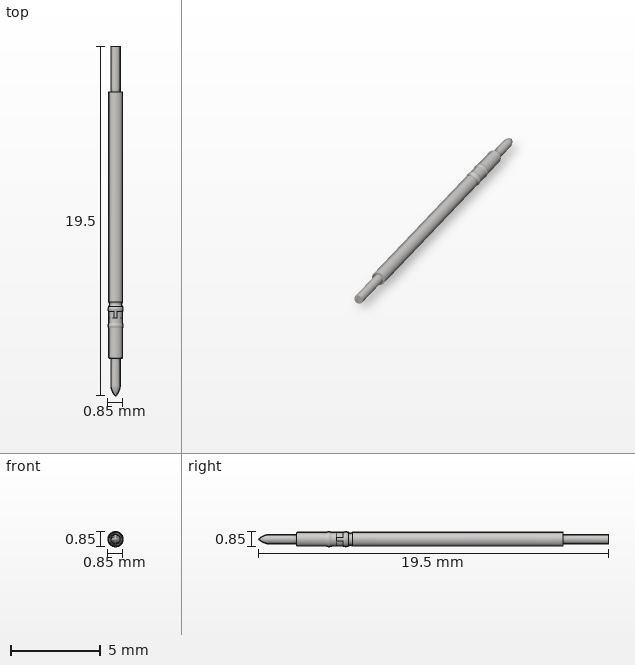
import cadquery as cq
import math

TOTAL_LENGTH = 19.46
TIP_Y = -TOTAL_LENGTH / 2
TAIL_END_Y = TOTAL_LENGTH / 2

BARREL_RADIUS = 0.39
RING_RADIUS = 0.425
GROOVE_RADIUS = 0.34
ROD_RADIUS = 0.26

POINT_LENGTH = 0.53
POINT_BULGE = 0.055
ROD_LENGTH = 1.57

BARREL_FRONT_Y = TIP_Y + POINT_LENGTH + ROD_LENGTH
MOUTH_ROUND = 0.08
RING_WIDTH = 0.29
RING_CREST_WIDTH = 0.055
FRONT_RING_GAP = 1.67
JOINT_GAP = 0.64
FRONT_RING_Y = BARREL_FRONT_Y + FRONT_RING_GAP
JOINT_Y = FRONT_RING_Y + RING_WIDTH + JOINT_GAP
GROOVE_Y = JOINT_Y + RING_WIDTH
GROOVE_WIDTH = 0.24
TAIL_LENGTH = 2.53
BARREL_REAR_Y = TAIL_END_Y - TAIL_LENGTH

KEY_LENGTH = 0.36
KEY_WIDTH = 0.18


def add_ring(profile, start_y):
    """Continue a half profile over one ring with sloped flanks and a flat crest."""
    flank_length = (RING_WIDTH - RING_CREST_WIDTH) / 2
    return (
        profile.lineTo(RING_RADIUS, start_y + flank_length)
        .lineTo(RING_RADIUS, start_y + flank_length + RING_CREST_WIDTH)
        .lineTo(BARREL_RADIUS, start_y + RING_WIDTH)
    )


def spin(profile):
    """Close a half profile and revolve it about the Y axis."""
    return profile.close().revolve(360, (0, 0, 0), (0, 1, 0))


def make_coupling_cross():
    """Crossed bars whose four ends show as keys on the barrel surface."""
    bar_x = cq.Workplane("XY").box(2 * BARREL_RADIUS, KEY_LENGTH, KEY_WIDTH)
    bar_z = cq.Workplane("XY").box(KEY_WIDTH, KEY_LENGTH, 2 * BARREL_RADIUS)
    cross = bar_x.union(bar_z).translate((0, JOINT_Y - KEY_LENGTH / 2, 0))
    envelope = (
        cq.Workplane("XZ", origin=(0, JOINT_Y, 0))
        .circle(BARREL_RADIUS)
        .extrude(KEY_LENGTH)
    )
    return cross.intersect(envelope)


def make_probe_head(cross):
    """Pointed rod and front barrel, slotted at the rear for the coupling keys."""
    shoulder_y = TIP_Y + POINT_LENGTH
    mouth_inset = MOUTH_ROUND * (1 - math.sqrt(0.5))
    mouth_middle = (BARREL_RADIUS - mouth_inset, BARREL_FRONT_Y + mouth_inset)
    bulge_point = (ROD_RADIUS / 2 + POINT_BULGE, TIP_Y + POINT_LENGTH / 2)
    profile = (
        cq.Workplane("XY")
        .moveTo(0, TIP_Y)
        .threePointArc(bulge_point, (ROD_RADIUS, shoulder_y))
        .lineTo(ROD_RADIUS, BARREL_FRONT_Y)
        .lineTo(BARREL_RADIUS - MOUTH_ROUND, BARREL_FRONT_Y)
        .threePointArc(mouth_middle, (BARREL_RADIUS, BARREL_FRONT_Y + MOUTH_ROUND))
        .lineTo(BARREL_RADIUS, FRONT_RING_Y)
    )
    profile = add_ring(profile, FRONT_RING_Y)
    profile = profile.lineTo(BARREL_RADIUS, JOINT_Y).lineTo(0, JOINT_Y)
    return spin(profile).cut(cross)


def make_rear_barrel(cross):
    """Ring, groove, long barrel and tail, with the coupling keys at the front."""
    profile = cq.Workplane("XY").moveTo(0, JOINT_Y).lineTo(BARREL_RADIUS, JOINT_Y)
    groove_middle = (GROOVE_RADIUS, GROOVE_Y + GROOVE_WIDTH / 2)
    groove_end = (BARREL_RADIUS, GROOVE_Y + GROOVE_WIDTH)
    profile = (
        add_ring(profile, JOINT_Y)
        .threePointArc(groove_middle, groove_end)
        .lineTo(BARREL_RADIUS, BARREL_REAR_Y)
        .lineTo(ROD_RADIUS, BARREL_REAR_Y)
        .lineTo(ROD_RADIUS, TAIL_END_Y)
        .lineTo(0, TAIL_END_Y)
    )
    return spin(profile).union(cross)


coupling_cross = make_coupling_cross()
probe_head = make_probe_head(coupling_cross)
rear_barrel = make_rear_barrel(coupling_cross)

result = cq.Compound.makeCompound([probe_head.val(), rear_barrel.val()])